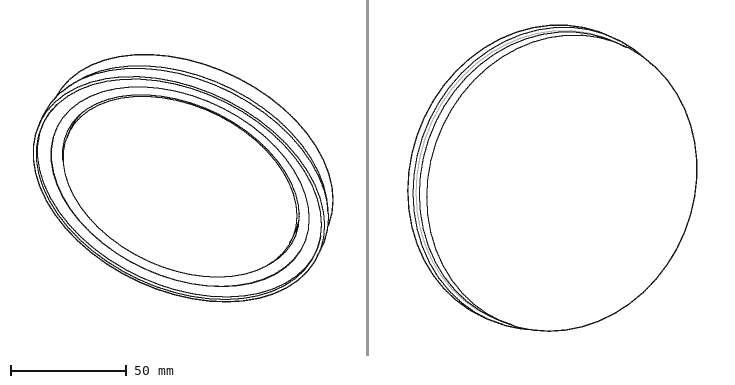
import cadquery as cq

total_depth = 15.5
front_radius = 66.5
back_radius = 65.0
rim_depth = 5.2
waist_fillet = 1.6
recess_radius = 65.0
recess_depth = 1.6
seal_mean_radius = 56.5
seal_section_radius = 2.4
seal_proud = 1.3
gland_inner_radius = 53.3

joint_y = rim_depth + waist_fillet
waist_radius = back_radius - waist_fillet
seal_center_y = recess_depth - seal_proud + seal_section_radius
gland_outer_radius = seal_mean_radius + seal_section_radius
gland_floor_y = seal_center_y + seal_section_radius
arc_reach = waist_fillet * 0.5 ** 0.5


def revolve_about_y(profile):
    """Turn an XY half-profile a full circle about the Y axis."""
    return profile.close().revolve(360, (0, 0, 0), (0, 1, 0))


def make_front_plate():
    """Flanged plate with a shallow face recess and a rectangular seal gland."""
    profile = (
        cq.Workplane("XY")
        .moveTo(0, recess_depth)
        .lineTo(gland_inner_radius, recess_depth)
        .lineTo(gland_inner_radius, gland_floor_y)
        .lineTo(gland_outer_radius, gland_floor_y)
        .lineTo(gland_outer_radius, recess_depth)
        .lineTo(recess_radius, recess_depth)
        .lineTo(recess_radius, 0)
        .lineTo(front_radius, 0)
        .lineTo(front_radius, rim_depth)
        .lineTo(back_radius, rim_depth)
        .threePointArc((back_radius - arc_reach, joint_y - arc_reach), (waist_radius, joint_y))
        .lineTo(0, joint_y)
    )
    return revolve_about_y(profile)


def make_back_plate():
    """Plain disc whose front edge is hollowed by a quarter-round."""
    profile = (
        cq.Workplane("XY")
        .moveTo(0, joint_y)
        .lineTo(waist_radius, joint_y)
        .threePointArc(
            (back_radius - arc_reach, joint_y + arc_reach),
            (back_radius, joint_y + waist_fillet),
        )
        .lineTo(back_radius, total_depth)
        .lineTo(0, total_depth)
    )
    return revolve_about_y(profile)


def make_seal():
    """Round-section sealing ring resting on the gland floor."""
    section = cq.Workplane("XY").center(seal_mean_radius, seal_center_y).circle(seal_section_radius)
    return section.revolve(360, (-seal_mean_radius, 0, 0), (-seal_mean_radius, 1, 0))


front_plate = make_front_plate()
back_plate = make_back_plate()
seal = make_seal()

result = cq.Compound.makeCompound([front_plate.val(), back_plate.val(), seal.val()])